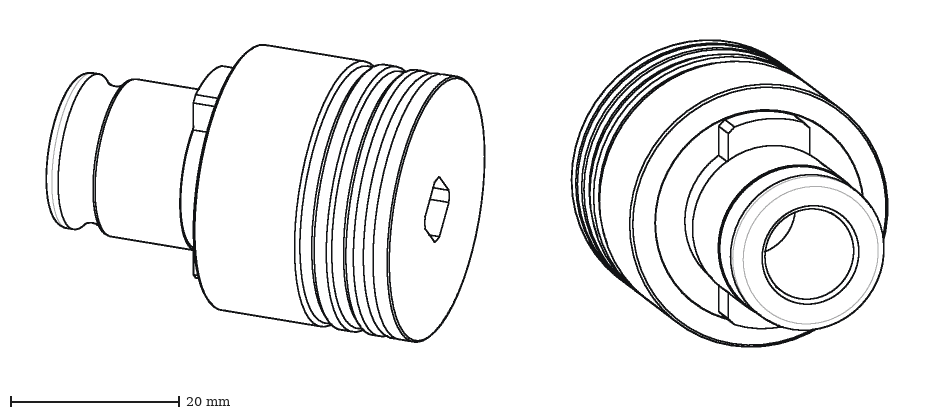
import cadquery as cq
import math

overall_length = 46.5
sleeve_length = 25.0
tang_length = 4.1
sleeve_start = overall_length - sleeve_length
tang_start = sleeve_start - tang_length

head_radius = 18.75 / 2
head_rounding = 1.0
groove_arc_radius = 2.75
groove_arc_x = 4.05
groove_arc_height = 11.0
barrel_radius = 19.0 / 2
barrel_chamfer_length = 0.3
barrel_chamfer_depth = 0.1
neck_radius = 18.5 / 2

sleeve_radius = 32.0 / 2
front_chamfer = 0.3
rear_chamfer = 0.2
outer_groove_depth = 0.5
outer_groove_starts = (34.5, 38.55)
outer_groove_floor_width = 1.5
cone_start = 42.0
cone_depth = 1.05
ring_groove_radius = 29.5 / 2
end_flange_thickness = 2.0
ring_groove_end = overall_length - end_flange_thickness

gap_inner_radius = 25.8 / 2
gap_outer_radius = 25.9 / 2
gap_depth = 1.0

tang_radius = 25.6 / 2
tang_width = 10.1
tang_flank_height = 11.3

bore_diameter = 11.0
bore_chamfer = 0.5
bore_depth = 25.0
square_width = 6.67
square_corner_diameter = 8.0

ring_clearance = 0.03
ring_wire_radius = (sleeve_radius - ring_groove_radius) / 2
ring_center_radius = ring_groove_radius + ring_wire_radius
ring_x = cone_start + cone_depth + ring_clearance + ring_wire_radius


def make_turned_blank():
    """Revolve the outline of the spigot, neck and sleeve."""
    rounding_offset = head_rounding * (1 - math.sqrt(0.5))
    groove_bottom = groove_arc_height - groove_arc_radius
    front_reach = math.sqrt(groove_arc_radius**2 - (groove_arc_height - head_radius) ** 2)
    barrel_edge_radius = barrel_radius - barrel_chamfer_depth
    rear_reach = math.sqrt(groove_arc_radius**2 - (groove_arc_height - barrel_edge_radius) ** 2)
    groove_end = groove_arc_x + rear_reach

    profile = (
        cq.Workplane("XY")
        .moveTo(0, 0)
        .lineTo(0, head_radius - head_rounding)
        .threePointArc((rounding_offset, head_radius - rounding_offset), (head_rounding, head_radius))
        .lineTo(groove_arc_x - front_reach, head_radius)
        .threePointArc((groove_arc_x, groove_bottom), (groove_end, barrel_edge_radius))
        .lineTo(groove_end + barrel_chamfer_length, barrel_radius)
        .lineTo(tang_start, barrel_radius)
        .lineTo(tang_start, neck_radius)
        .lineTo(sleeve_start, neck_radius)
        .lineTo(sleeve_start, sleeve_radius - front_chamfer)
        .lineTo(sleeve_start + front_chamfer, sleeve_radius)
    )
    floor_radius = sleeve_radius - outer_groove_depth
    for start in outer_groove_starts:
        floor_start = start + outer_groove_depth
        floor_end = floor_start + outer_groove_floor_width
        profile = (
            profile.lineTo(start, sleeve_radius)
            .lineTo(floor_start, floor_radius)
            .lineTo(floor_end, floor_radius)
            .lineTo(floor_end + outer_groove_depth, sleeve_radius)
        )
    profile = (
        profile.lineTo(cone_start, sleeve_radius)
        .lineTo(cone_start + cone_depth, sleeve_radius - cone_depth)
        .lineTo(cone_start + cone_depth, ring_groove_radius)
        .lineTo(ring_groove_end, ring_groove_radius)
        .lineTo(ring_groove_end, sleeve_radius)
        .lineTo(overall_length - rear_chamfer, sleeve_radius)
        .lineTo(overall_length, sleeve_radius - rear_chamfer)
        .lineTo(overall_length, 0)
        .close()
    )
    return profile.revolve(360, (0, 0, 0), (1, 0, 0))


def make_tangs():
    """Two opposite tangs from one bar across the neck, with rounded tips and flat corners."""
    half_width = tang_width / 2
    half_diagonal = half_width + tang_flank_height
    envelope_side = half_diagonal * math.sqrt(2)
    bar = (
        cq.Workplane("YZ", origin=(tang_start, 0, 0))
        .rect(tang_width, 2 * tang_radius)
        .extrude(tang_length)
    )
    corner_envelope = (
        cq.Workplane("YZ", origin=(tang_start, 0, 0))
        .rect(envelope_side, envelope_side)
        .extrude(tang_length)
        .rotate((0, 0, 0), (1, 0, 0), 45)
    )
    disc = cq.Workplane("YZ", origin=(tang_start, 0, 0)).circle(tang_radius).extrude(tang_length)
    return bar.intersect(corner_envelope).intersect(disc)


def make_face_gap():
    """Thin annular slot in the sleeve's front face."""
    return (
        cq.Workplane("YZ", origin=(sleeve_start, 0, 0))
        .circle(gap_outer_radius)
        .circle(gap_inner_radius)
        .extrude(gap_depth)
    )


def make_bore():
    """Chamfered round bore, then a square drive with rounded corners through to the rear."""
    bore = cq.Workplane("YZ").circle(bore_diameter / 2).extrude(bore_depth)
    mouth = cq.Workplane(
        cq.Solid.makeCone(
            bore_diameter / 2 + bore_chamfer,
            bore_diameter / 2,
            bore_chamfer,
            cq.Vector(0, 0, 0),
            cq.Vector(1, 0, 0),
        )
    )
    square = (
        cq.Workplane("YZ")
        .rect(square_width, square_width)
        .extrude(overall_length)
        .rotate((0, 0, 0), (1, 0, 0), 45)
    )
    corner_limit = cq.Workplane("YZ").circle(square_corner_diameter / 2).extrude(overall_length)
    return bore.union(mouth).union(square.intersect(corner_limit))


def make_retaining_ring():
    """Closed ring of round wire."""
    return (
        cq.Workplane("XY")
        .center(ring_x, ring_center_radius)
        .circle(ring_wire_radius)
        .revolve(360, (-ring_x, -ring_center_radius, 0), (1 - ring_x, -ring_center_radius, 0))
    )


housing = make_turned_blank().union(make_tangs()).cut(make_face_gap()).cut(make_bore())
retaining_ring = make_retaining_ring()

result = cq.Compound.makeCompound([housing.val(), retaining_ring.val()])